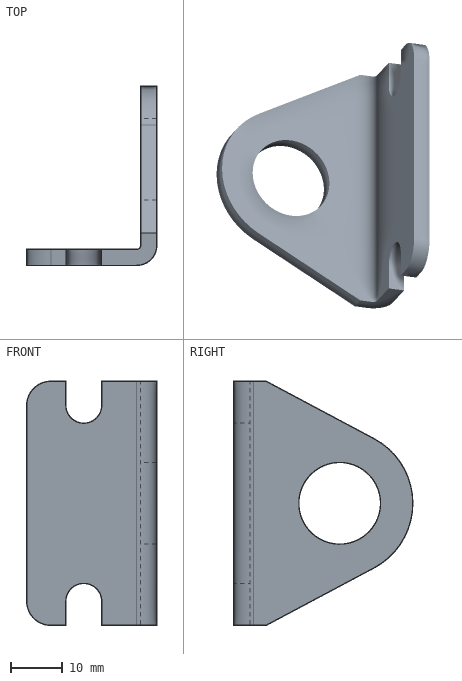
import cadquery as cq
import math

width = 25.4
height = 47.6
thickness = 3.175
half_height = height / 2

inner_bend_radius = 0.76
outer_bend_radius = inner_bend_radius + thickness

eye_radius = 14.275
eye_y = 20.675
eye_hole_diameter = 15.875
flank_start_y = 6.35

corner_radius = 4.75
slot_width = 6.95
slot_x = 11.15
slot_spacing = 38.2


def make_angle():
    """L-section with a rounded bend, extruded over the full height."""
    lug_end_y = eye_y + eye_radius
    section = (
        cq.Workplane("XY")
        .moveTo(0, 0)
        .lineTo(width, 0)
        .lineTo(width, lug_end_y)
        .lineTo(width - thickness, lug_end_y)
        .lineTo(width - thickness, thickness)
        .lineTo(0, thickness)
        .close()
        .extrude(half_height, both=True)
    )
    inner_corner = cq.selectors.NearestToPointSelector((width - thickness, thickness, 0))
    outer_corner = cq.selectors.NearestToPointSelector((width, 0, 0))
    section = section.edges("|Z").edges(inner_corner).fillet(inner_bend_radius)
    return section.edges("|Z").edges(outer_corner).fillet(outer_bend_radius)


def make_lug_envelope():
    """Side outline of the bracket: square base, tangent flanks, round eye."""
    run = eye_y - flank_start_y
    distance = math.hypot(run, half_height)
    tangent_angle = math.atan2(half_height, -run) - math.acos(eye_radius / distance)
    tangent_y = eye_y + eye_radius * math.cos(tangent_angle)
    tangent_z = eye_radius * math.sin(tangent_angle)
    return (
        cq.Workplane("YZ")
        .moveTo(0, -half_height)
        .lineTo(flank_start_y, -half_height)
        .lineTo(tangent_y, -tangent_z)
        .threePointArc((eye_y + eye_radius, 0), (tangent_y, tangent_z))
        .lineTo(flank_start_y, half_height)
        .lineTo(0, half_height)
        .close()
        .extrude(width)
    )


def make_eye_hole():
    return cq.Workplane("YZ").center(eye_y, 0).circle(eye_hole_diameter / 2).extrude(width)


def make_slot(side):
    """Round-bottomed slot open to the top (side = 1) or bottom (side = -1)."""
    slot_radius = slot_width / 2
    center_z = side * slot_spacing / 2
    return (
        cq.Workplane("XZ")
        .moveTo(slot_x - slot_radius, side * half_height)
        .lineTo(slot_x - slot_radius, center_z)
        .threePointArc((slot_x, center_z - side * slot_radius), (slot_x + slot_radius, center_z))
        .lineTo(slot_x + slot_radius, side * half_height)
        .close()
        .extrude(-thickness)
    )


bracket = make_angle().intersect(make_lug_envelope()).cut(make_eye_hole())
bracket = bracket.faces("<X").edges("|Y").fillet(corner_radius)
for side in (-1, 1):
    bracket = bracket.cut(make_slot(side))

result = bracket